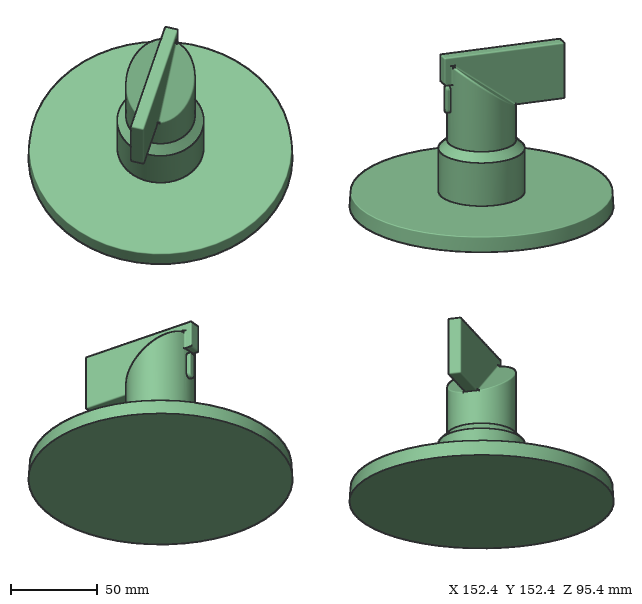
import cadquery as cq
import math

plate_radius = 76.2
plate_top_radius = 75.6
plate_height = 9.3
plate_rim_round = 0.6

collar_radius = 25.0
neck_radius = 20.0
collar_top = 35.8
shoulder_top = collar_top + collar_radius - neck_radius

slant_angle = 37.0
slant_center_height = 75.7
slant_rise = neck_radius * math.tan(math.radians(slant_angle))
low_side = slant_center_height - slant_rise
high_side = slant_center_height + slant_rise

total_height = 95.4
blade_thickness = 8.0
blade_front = -50.0
blade_back = 24.2
blade_bottom = 61.0
tail_bottom = 78.5
tail_start = neck_radius / 2
edge_round = 0.9
cove_top = 90.2

pad_width = 4.9
pad_bottom = 60.2
pad_top = 76.8
pad_back = 22.4


def make_plate():
    plate = (
        cq.Workplane("XZ")
        .polyline([(0, 0), (plate_radius, 0), (plate_top_radius, plate_height), (0, plate_height)])
        .close()
        .revolve(360, (0, 0, 0), (0, 1, 0))
    )
    return plate.faces(">Z").edges().fillet(plate_rim_round)


def make_stem():
    neck = (
        cq.Workplane("XY")
        .workplane(offset=shoulder_top)
        .circle(neck_radius)
        .extrude(total_height - shoulder_top)
    )
    slanted_envelope = (
        cq.Workplane("YZ")
        .polyline([
            (-neck_radius, shoulder_top),
            (neck_radius, shoulder_top),
            (neck_radius, high_side),
            (-neck_radius, low_side),
        ])
        .close()
        .extrude(neck_radius, both=True)
    )
    neck = neck.intersect(slanted_envelope).faces(">Z").edges().fillet(edge_round)
    collar = (
        cq.Workplane("XZ")
        .polyline([
            (0, 0),
            (collar_radius, 0),
            (collar_radius, collar_top),
            (neck_radius, shoulder_top),
            (0, shoulder_top),
        ])
        .close()
        .revolve(360, (0, 0, 0), (0, 1, 0))
    )
    return collar.union(neck)


def make_blade():
    blade = (
        cq.Workplane("YZ")
        .polyline([
            (blade_front, blade_bottom),
            (tail_start, blade_bottom),
            (tail_start, tail_bottom),
            (blade_back, tail_bottom),
            (blade_back, total_height),
            (blade_front, total_height),
        ])
        .close()
        .extrude(blade_thickness / 2, both=True)
    )
    end_edges = blade.faces("<Y or >Y or >Z or <Z").edges()
    return end_edges.fillet(edge_round)


def make_pad():
    pad = (
        cq.Workplane("XZ")
        .center(0, (pad_bottom + pad_top) / 2)
        .slot2D(pad_top - pad_bottom, pad_width, 90)
        .extrude(-pad_back)
    )
    return pad.faces(">Y").edges().fillet(edge_round)


def cove_strip(plane, half_width, round_center_x, round_center_y, length):
    """Strip straddling the blade with one concave round along each side, centered on its plane."""
    strip = (
        cq.Workplane(plane)
        .center(0, round_center_y - edge_round)
        .rect(2 * half_width, 2 * edge_round)
        .extrude(length / 2, both=True)
    )
    rounds = (
        cq.Workplane(plane)
        .pushPoints([(-round_center_x, round_center_y), (round_center_x, round_center_y)])
        .circle(edge_round)
        .extrude(length / 2, both=True)
    )
    return strip.cut(rounds)


def make_slant_coves():
    """Concave rounds where the blade rises from the slanted face."""
    angle = math.radians(slant_angle)
    plane = cq.Plane(
        origin=(0, 0, slant_center_height),
        xDir=(1, 0, 0),
        normal=(0, -math.cos(angle), -math.sin(angle)),
    )
    side = blade_thickness / 2 + edge_round
    strip = cove_strip(plane, side, side, edge_round, 4 * neck_radius)
    neck_column = cq.Workplane("XY").circle(neck_radius).extrude(cove_top)
    return strip.intersect(neck_column)


def make_back_coves():
    """Concave rounds where the blade tail meets the back of the neck."""
    round_x = blade_thickness / 2 + edge_round
    orbit = neck_radius + edge_round
    round_y = math.sqrt(orbit**2 - round_x**2)
    tangent_x = round_x * neck_radius / orbit
    plane = cq.Plane(
        origin=(0, 0, (tail_bottom + cove_top) / 2),
        xDir=(1, 0, 0),
        normal=(0, 0, 1),
    )
    return cove_strip(plane, tangent_x, round_x, round_y, cove_top - tail_bottom)


result = make_stem()
for feature in (make_blade(), make_slant_coves(), make_back_coves(), make_pad(), make_plate()):
    result = result.union(feature)